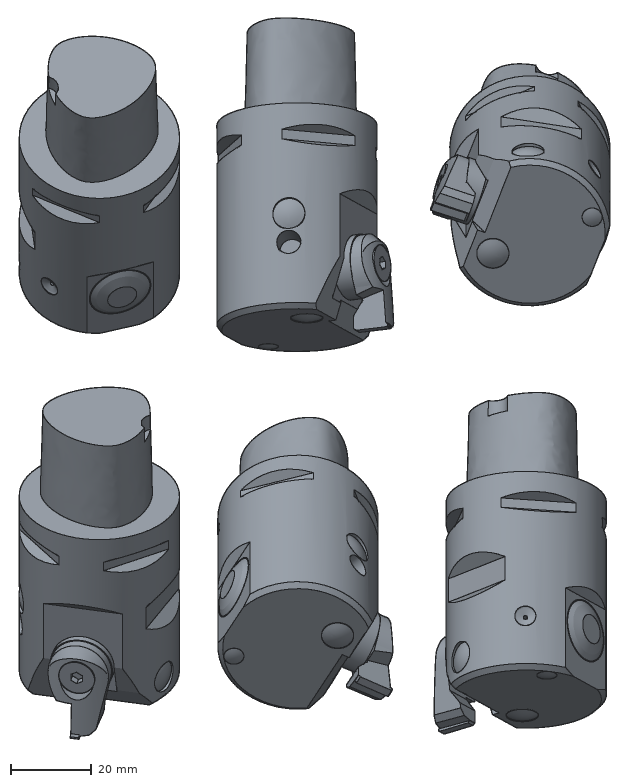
import cadquery as cq
import math


body_radius = 20.0
body_length = 53.15
bottom_chamfer = 1.25

shank_length = 24.0
shank_base_width = 28.0
shank_top_width = 26.8
shank_lobe = 0.95
keyway_radius = 3.7
keyway_depth = 4.2
keyway_floor_y = -10.85

gripper_distance = 17.6
gripper_height = 2.5
gripper_center_z = -8.0
gripper_side_angle = 30.0

flat_distance = 17.25
flat_top_z = -22.7
pocket_bottom_z = -29.0
pocket_tilt = 10.5
flat_side_angle = 45.0
dial_flat_distance = 18.05
dial_flat_top_z = -30.4

bar_z = -39.0
bar_radius = 8.0
bar_face_x = -19.0
slot_floor_x = -14.05

relief_angle = 18.0
chip_angle = 34.0
chip_start_z = -47.5
chip_edge_y = 3.4

screw_head_radius = 4.6
screw_face_x = -24.0
screw_head_length = 3.0
screw_shank_radius = 2.5
screw_end_x = -10.0
screw_socket_width = 2.95
screw_socket_depth = 2.0

head_radius = 7.75
head_outer_x = -24.3
head_outer_radius = 15.0
head_tilt = 4.4
head_cone_rise = 2.2
arm_edge_y = 1.15
arm_taper = 11.2
shoulder_mid = (7.5, -41.8)
shoulder_end = (5.5, -46.2)
shoulder_z = -46.1
shoulder_low_z = -47.8
edge_back_y = -1.0
arm_end_z = -55.3
heel_x = -16.4
tip_x = -26.0
tip_z = -56.0

plug_diameter = 8.02
plug_length = 4.0
plug_dome = 1.0
side_plug_angle = 21.3
side_plug_reach = 20.15
front_plug_z = -46.4
rear_plug_z = -28.6
bottom_plug_rise = 0.75
bottom_plug_center = (-6.9, 8.1)
small_plug_diameter = 5.0
small_plug_length = 3.0
small_plug_dome = 0.45
small_plug_rise = 0.4
small_plug_center = (13.0, -9.6)

rear_hole_diameter = 6.0
rear_hole_z = -36.1
rear_hole_depth = 9.0
oil_hole_angle = 34.4

big = 60.0
clearance = 1.0


def tan(degrees):
    return math.tan(math.radians(degrees))


def xz_prism(points, y_low, y_high):
    """Prism with an outline in X and Z, from y_low to y_high."""
    outline = cq.Workplane("XZ", origin=(0, y_high, 0)).polyline(points).close()
    return outline.extrude(y_high - y_low)


def x_cylinder(radius, x_start, x_end):
    """Cylinder on the bar axis."""
    return cq.Workplane("YZ", origin=(x_start, 0, bar_z)).circle(radius).extrude(x_end - x_start)


def x_revolve(points):
    """Solid turned about the bar axis from (x, radius) points."""
    outline = cq.Workplane("XY", origin=(0, 0, bar_z)).polyline(points).close()
    return outline.revolve(360, (0, 0, 0), (1, 0, 0))


def aim_radially(tool, angle, z):
    """Turn a tool built along +Z so that it points outward at an angle about Z from +X."""
    return tool.rotate((0, 0, 0), (0, 1, 0), 90).rotate((0, 0, 0), (0, 0, 1), angle).translate((0, 0, z))


def shank_section(width, z):
    """Three-lobed section of constant width, with one lobe toward +Y."""
    def point(t):
        x = (width / 2) * math.cos(t) + 2 * shank_lobe * math.cos(2 * t) - shank_lobe * math.cos(4 * t)
        y = (width / 2) * math.sin(t) - 2 * shank_lobe * math.sin(2 * t) - shank_lobe * math.sin(4 * t)
        return (-y, x, z)

    def curve(u):
        return point(2 * math.pi * u)

    return cq.Workplane("XY").parametricCurve(curve, N=120).val()


def make_shank():
    base = shank_section(shank_base_width, 0)
    top = shank_section(shank_top_width, shank_length)
    shank = cq.Workplane(cq.Solid.makeLoft([base, top], True))
    keyway = (
        cq.Workplane("XY", origin=(0, keyway_floor_y - keyway_radius, shank_length - keyway_depth))
        .circle(keyway_radius)
        .extrude(keyway_depth)
    )
    return shank.cut(keyway)


def flat_cutter(distance, z_top, z_bottom, side_angle, direction):
    """Flat-bottomed cut across the body with sloped sides, facing outward in the direction angle."""
    depth = body_radius + clearance - distance
    rise = depth * tan(side_angle)
    outer = distance + depth
    points = [(distance, z_bottom), (outer, z_bottom - rise), (outer, z_top + rise), (distance, z_top)]
    return xz_prism(points, -body_radius, body_radius).rotate((0, 0, 0), (0, 0, 1), direction)


def make_relief():
    """Sloped relief below the left flat, steeper on the chip side."""
    def slope_x(z):
        return -flat_distance + (bar_z - z) * tan(relief_angle)

    end_z = -body_length - clearance
    main = xz_prism(
        [(-big, bar_z), (-flat_distance, bar_z), (slope_x(end_z), end_z), (-big, end_z)], -big, big
    )
    chip_x = slope_x(chip_start_z)
    chip_end_x = chip_x + (chip_start_z - end_z) * tan(chip_angle)
    chip = xz_prism(
        [(-big, chip_start_z), (chip_x, chip_start_z), (chip_end_x, end_z), (-big, end_z)], -big, chip_edge_y
    )
    return main.union(chip)


def make_oil_hole():
    """Conical dish with a chamfered mouth that leads to a fine oil bore; reach is measured from Z."""
    mouth_radius = 5.25 / 2
    dish_radius = 2.2
    bore_radius = 0.5
    mouth_reach = 19.8
    dish_reach = 19.55
    dish_floor_reach = 18.85
    bore_end_reach = 16.0
    outline = [
        (0, bore_end_reach),
        (bore_radius, bore_end_reach),
        (bore_radius, dish_floor_reach),
        (dish_radius, dish_reach),
        (mouth_radius, mouth_reach),
        (mouth_radius, body_radius + clearance),
        (0, body_radius + clearance),
    ]
    tool = cq.Workplane("XZ").polyline(outline).close().revolve(360, (0, 0, 0), (0, 1, 0))
    return aim_radially(tool, oil_hole_angle - 90, bar_z)


def make_housing():
    body = (
        cq.Workplane("XY").circle(body_radius).extrude(-body_length).faces("<Z").chamfer(bottom_chamfer)
    )
    gripper_top = gripper_center_z + gripper_height / 2
    gripper_bottom = gripper_top - gripper_height
    for direction in (45, 135, 225, 315):
        groove = flat_cutter(gripper_distance, gripper_top, gripper_bottom, gripper_side_angle, direction)
        body = body.cut(groove)
    body = body.cut(flat_cutter(flat_distance, flat_top_z, -big, flat_side_angle, 180))
    pocket_direction = 270 - pocket_tilt
    body = body.cut(
        flat_cutter(flat_distance, flat_top_z, pocket_bottom_z, flat_side_angle, pocket_direction)
    )
    body = body.cut(flat_cutter(dial_flat_distance, dial_flat_top_z, -big, flat_side_angle, 0))
    body = body.cut(make_relief())

    bar_slot = xz_prism(
        [(-big, bar_z), (slot_floor_x, bar_z), (slot_floor_x, -big), (-big, -big)], -bar_radius, bar_radius
    )
    body = body.cut(bar_slot)
    body = body.cut(x_cylinder(bar_radius, -big, big))

    rear_hole = (
        cq.Workplane("XY", origin=(0, 0, body_radius + clearance - rear_hole_depth))
        .circle(rear_hole_diameter / 2)
        .extrude(rear_hole_depth)
    )
    body = body.cut(aim_radially(rear_hole, 90 + side_plug_angle, rear_hole_z))
    body = body.cut(make_oil_hole())
    return body.union(make_shank())


def make_bar():
    dial_base_radius = 7.75
    dial_mid_radius = 6.4
    dial_face_radius = 7.54 / 2
    dial_mid_x = 18.9
    dial_face_x = 19.85
    return x_revolve(
        [
            (bar_face_x, 0),
            (bar_face_x, bar_radius),
            (dial_flat_distance, bar_radius),
            (dial_flat_distance, dial_base_radius),
            (dial_mid_x, dial_mid_radius),
            (dial_face_x, dial_face_radius),
            (dial_face_x, 0),
        ]
    )


def make_screw_blank():
    head_end_x = screw_face_x + screw_head_length
    return x_cylinder(screw_head_radius, screw_face_x, head_end_x).union(
        x_cylinder(screw_shank_radius, head_end_x, screw_end_x)
    )


def make_screw():
    across_corners = screw_socket_width / math.cos(math.radians(30))
    socket = (
        cq.Workplane("YZ", origin=(screw_face_x, 0, bar_z))
        .transformed(rotate=(0, 0, 90))
        .polygon(6, across_corners)
        .extrude(screw_socket_depth)
    )
    return make_screw_blank().cut(socket)


def lean(tool):
    """Tilt a tool about the middle of the head's outer face."""
    pivot = (head_outer_x, 0, bar_z)
    return tool.rotate(pivot, (head_outer_x, 1, bar_z), head_tilt)


def arm_edge_start():
    """Y and Z where the arm's back edge leaves the round of the head as a tangent."""
    angle = math.radians(arm_taper)
    return (-head_radius * math.cos(angle), bar_z - head_radius * math.sin(angle))


def arm_back_y(z):
    """Y of the arm's back edge at height z."""
    start_y, start_z = arm_edge_start()
    return start_y + (start_z - z) * tan(arm_taper)


def make_head_outline():
    """Round head with a tapered arm, as a prism along X."""
    corner_z = -53.3
    heel = (-3.5, -54.8)
    recess_corner = (4.6, shoulder_low_z)
    outline = (
        cq.Workplane("YZ", origin=(-big, 0, 0))
        .moveTo(head_radius, bar_z)
        .threePointArc((0, bar_z + head_radius), arm_edge_start())
        .lineTo(arm_back_y(corner_z), corner_z)
        .lineTo(*heel)
        .lineTo(edge_back_y, arm_end_z)
        .lineTo(arm_edge_y, arm_end_z)
        .lineTo(arm_edge_y, shoulder_low_z)
        .lineTo(*recess_corner)
        .lineTo(*shoulder_end)
        .threePointArc(shoulder_mid, (head_radius, bar_z))
        .close()
    )
    return outline.extrude(big)


def make_cutting_edge():
    """Thin bar with relieved corners along the end of the arm, from the outer tip to the heel."""
    root_z = -54.2
    root_x = -25.0
    tip_side_z = -55.4
    tip_corner = 0.2
    land_end_x = -24.2
    relief_z = tip_z + 0.2
    heel_corner = 0.6
    return xz_prism(
        [
            (root_x, root_z),
            (tip_x, tip_side_z),
            (tip_x, tip_z + tip_corner),
            (tip_x + tip_corner, tip_z),
            (land_end_x, tip_z),
            (heel_x - heel_corner, relief_z),
            (heel_x, relief_z + heel_corner),
            (heel_x - heel_corner, root_z),
        ],
        edge_back_y,
        arm_edge_y,
    )


def make_cutting_head():
    heel_top_z = -52.0
    neck_z = -48.3
    side_profile = xz_prism(
        [
            (bar_face_x, 0),
            (-big, 0),
            (-big, -big),
            (heel_x, -big),
            (heel_x, heel_top_z),
            (bar_face_x, neck_z),
        ],
        -big,
        big,
    )
    head = make_head_outline().intersect(side_profile)

    envelope = cq.Workplane("XY", origin=(head_outer_x + head_outer_radius, 0, -2 * big))
    head = head.intersect(lean(envelope.circle(head_outer_radius).extrude(4 * big)))

    cone_x = head_outer_x + head_cone_rise
    cone_outer_x = head_outer_x - clearance
    cone_top_radius = head_radius + clearance
    cone_ring = x_revolve(
        [
            (cone_outer_x, head_radius - head_cone_rise - clearance),
            (cone_x + clearance, cone_top_radius),
            (cone_outer_x, cone_top_radius),
        ]
    )
    upper_half = cq.Workplane("XY", origin=(0, 0, bar_z)).rect(2 * big, 2 * big).extrude(big)
    head = head.cut(lean(cone_ring.intersect(upper_half)))

    underside = xz_prism(
        [(tip_x, shoulder_z), (bar_face_x, shoulder_low_z), (tip_x, shoulder_low_z)], arm_edge_y, big
    )
    head = head.cut(underside)

    head = head.union(make_cutting_edge())

    sink_x = -23.8
    sink_depth = 2.0
    sink_slope = 1.5
    countersink = x_revolve(
        [
            (sink_x, 0),
            (sink_x, screw_head_radius),
            (sink_x - sink_depth, screw_head_radius + sink_slope * sink_depth),
            (sink_x - sink_depth, 0),
        ]
    )
    return head.cut(countersink).cut(make_screw_blank())


def make_plug(diameter, length, dome):
    """Plug along Z with its dome tip at the origin, pointing up."""
    radius = diameter / 2
    sphere_radius = (radius**2 + dome**2) / (2 * dome)
    half = math.asin(radius / sphere_radius) / 2
    mid = (sphere_radius * math.sin(half), sphere_radius * (math.cos(half) - 1))
    return (
        cq.Workplane("XZ")
        .moveTo(0, 0)
        .threePointArc(mid, (radius, -dome))
        .lineTo(radius, -length)
        .lineTo(0, -length)
        .close()
        .revolve(360, (0, 0, 0), (0, 1, 0))
    )


def plug_seat(diameter, length):
    """Hole for a plug, open past its dome."""
    return cq.Workplane("XY", origin=(0, 0, -length)).circle(diameter / 2).extrude(length + clearance)


def place_on_side(tool, angle, z):
    return aim_radially(tool.translate((0, 0, side_plug_reach)), angle, z)


def place_on_bottom(tool, center, rise):
    flipped = tool.rotate((0, 0, 0), (1, 0, 0), 180)
    return flipped.translate((center[0], center[1], -body_length - rise))


housing = make_housing()
plugs = []

large_plug = make_plug(plug_diameter, plug_length, plug_dome)
large_seat = plug_seat(plug_diameter, plug_length)
small_plug = make_plug(small_plug_diameter, small_plug_length, small_plug_dome)
small_seat = plug_seat(small_plug_diameter, small_plug_length)

for angle, z in ((270 - side_plug_angle, front_plug_z), (90 + side_plug_angle, rear_plug_z)):
    housing = housing.cut(place_on_side(large_seat, angle, z))
    plugs.append(place_on_side(large_plug, angle, z))

for plug, seat, center, rise in (
    (large_plug, large_seat, bottom_plug_center, bottom_plug_rise),
    (small_plug, small_seat, small_plug_center, small_plug_rise),
):
    housing = housing.cut(place_on_bottom(seat, center, rise))
    plugs.append(place_on_bottom(plug, center, rise))

screw = make_screw()
bar = make_bar().cut(make_screw_blank())
cutting_head = make_cutting_head()

result = cq.Compound.makeCompound(
    [housing.val(), bar.val(), cutting_head.val(), screw.val(), *[plug.val() for plug in plugs]]
)